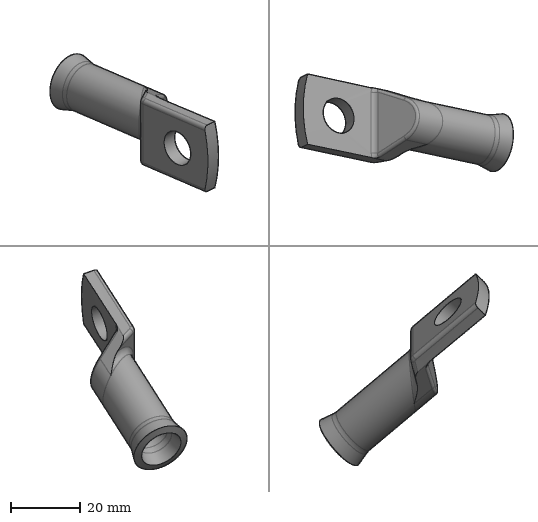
import cadquery as cq
import math

barrel_radius = 7.3
bore_radius = 5.0
bore_depth = 30.0
wall = barrel_radius - bore_radius

flare_angle = math.radians(14)
flare_bend_x = 6.1
flare_bend_radius = 6.1

palm_end_x = 64.0
palm_width = 21.5
palm_front_y = -9.3
palm_back_y = -4.8
palm_end_radius = 40.0
stud_hole_diameter = 10.5
stud_hole_x = 51.9

neck_angle = math.radians(60)
plate_thickness = palm_back_y - palm_front_y
neck_back_x = 36.85

barrel_root_fillet = 1.98
front_bend_fillet = 2.0
front_edge_fillet = 1.25
back_bend_fillet = 2.0
neck_back_fillet = 1.1
palm_back_fillet = 0.4

half_width = palm_width / 2
neck_front_x = neck_back_x - plate_thickness / math.sin(neck_angle)
blank_reach = 2 * barrel_radius
front_bend_x = neck_front_x - palm_front_y / math.tan(neck_angle)
back_bend_x = neck_back_x - palm_back_y / math.tan(neck_angle)


def neck_x(axis_crossing, y):
    """X of an inclined neck plane at height y."""
    return axis_crossing - y / math.tan(neck_angle)


def neck_back_face(body):
    """Flat back face of the inclined neck."""
    back_normal = cq.Vector(math.sin(neck_angle), math.cos(neck_angle), 0)
    inclined = body.faces(cq.selectors.ParallelDirSelector(back_normal))
    return inclined.faces(cq.selectors.DirectionMinMaxSelector(back_normal, True))


def barrel_blank():
    """Solid barrel, cut off along the back plane of the neck."""
    side = (
        cq.Workplane("XY")
        .moveTo(0, blank_reach)
        .lineTo(neck_x(neck_back_x, blank_reach), blank_reach)
        .lineTo(neck_x(neck_back_x, -blank_reach), -blank_reach)
        .lineTo(0, -blank_reach)
        .close()
        .extrude(blank_reach, both=True)
    )
    return cq.Workplane("YZ").circle(barrel_radius).extrude(palm_end_x).intersect(side)


def neck_and_palm_blank():
    """Side shape of the neck and palm, wider than the finished part."""
    return (
        cq.Workplane("XY")
        .moveTo(neck_x(neck_front_x, blank_reach), blank_reach)
        .lineTo(neck_x(neck_back_x, blank_reach), blank_reach)
        .lineTo(back_bend_x, palm_back_y)
        .lineTo(palm_end_x, palm_back_y)
        .lineTo(palm_end_x, palm_front_y)
        .lineTo(front_bend_x, palm_front_y)
        .close()
        .extrude(palm_width, both=True)
    )


def end_outline():
    """Palm rectangle whose sides close in tangentially onto the barrel."""
    corner_distance = math.hypot(palm_back_y, half_width)
    corner_angle = math.atan2(half_width, palm_back_y)
    tangent_angle = corner_angle - math.acos(barrel_radius / corner_distance)
    tangent_y = barrel_radius * math.cos(tangent_angle)
    tangent_z = barrel_radius * math.sin(tangent_angle)
    barrel_outline = cq.Workplane("YZ").circle(barrel_radius).extrude(palm_end_x)
    return barrel_outline.union(
        cq.Workplane("YZ")
        .moveTo(palm_front_y, -half_width)
        .lineTo(palm_back_y, -half_width)
        .lineTo(tangent_y, -tangent_z)
        .lineTo(tangent_y, tangent_z)
        .lineTo(palm_back_y, half_width)
        .lineTo(palm_front_y, half_width)
        .close()
        .extrude(palm_end_x)
    )


def solid_lug():
    """Barrel, neck and palm in one piece, with fillets at the front bend and barrel root."""
    blank = neck_and_palm_blank().edges("|Z and <Y").edges("<X").fillet(front_bend_fillet)
    blank = blank.union(barrel_blank())
    return blank.edges("%ELLIPSE").fillet(barrel_root_fillet).intersect(end_outline())


def round_front_edges(body):
    """Round the long front edges of the palm, continuing round the bend up the neck."""
    return body.faces("<Y").edges("|X").fillet(front_edge_fillet)


def round_neck_back(body):
    """Round the back rim of the neck, then blend the neck into the palm."""
    body = neck_back_face(body).edges("not |Z").fillet(neck_back_fillet)
    return neck_back_face(body).edges("|Z").edges("<Y").fillet(back_bend_fillet)


def palm_back_edge_cutter(side):
    """Strip that rounds one long back edge of the palm; side is +1 or -1 along Z."""
    radius = palm_back_fillet
    bend_tangent = back_bend_fillet * math.tan(neck_angle / 2)
    start_x = back_bend_x + bend_tangent
    corner_z = side * half_width
    mid_inset = radius * (1 - math.cos(math.pi / 4))
    mid_y = palm_back_y - mid_inset
    mid_z = side * (half_width - mid_inset)
    return (
        cq.Workplane("YZ", origin=(start_x, 0, 0))
        .moveTo(palm_back_y, corner_z)
        .lineTo(palm_back_y - radius, corner_z)
        .threePointArc((mid_y, mid_z), (palm_back_y, corner_z - side * radius))
        .close()
        .extrude(palm_end_x - start_x)
    )


def palm_end_trim():
    """Material kept by the shallow arc at the free end of the palm."""
    sagitta = palm_end_radius - math.sqrt(palm_end_radius**2 - half_width**2)
    height = 2 * blank_reach
    return (
        cq.Workplane("XZ", origin=(0, height / 2, 0))
        .moveTo(0, -half_width)
        .lineTo(palm_end_x - sagitta, -half_width)
        .threePointArc((palm_end_x, 0), (palm_end_x - sagitta, half_width))
        .lineTo(0, half_width)
        .close()
        .extrude(height)
    )


def stud_hole():
    """Through hole in the palm."""
    return (
        cq.Workplane("XZ", origin=(stud_hole_x, palm_back_y, 0))
        .circle(stud_hole_diameter / 2)
        .extrude(plate_thickness)
    )


def bore():
    """Blind, flat-bottomed wire bore."""
    return cq.Workplane("YZ").circle(bore_radius).extrude(bore_depth)


def flared_mouth():
    """Mouth wall from the bend to the rim, revolved about the barrel axis."""
    center_y = barrel_radius + flare_bend_radius
    inner_bend_radius = flare_bend_radius + wall

    def bend_point(radius, angle):
        return flare_bend_x - radius * math.sin(angle), center_y - radius * math.cos(angle)

    outer_end = bend_point(flare_bend_radius, flare_angle)
    inner_end = bend_point(inner_bend_radius, flare_angle)
    rim_inner = (0, inner_end[1] + inner_end[0] * math.tan(flare_angle))
    rim_outer = (wall * math.sin(flare_angle), rim_inner[1] + wall * math.cos(flare_angle))
    return (
        cq.Workplane("XY")
        .moveTo(*bend_point(inner_bend_radius, 0))
        .threePointArc(bend_point(inner_bend_radius, flare_angle / 2), inner_end)
        .lineTo(*rim_inner)
        .lineTo(*rim_outer)
        .lineTo(*outer_end)
        .threePointArc(bend_point(flare_bend_radius, flare_angle / 2), bend_point(flare_bend_radius, 0))
        .close()
        .revolve(360, (0, 0, 0), (1, 0, 0))
    )


def mouth_clearance():
    """Plain barrel length that the flared mouth replaces."""
    return cq.Workplane("YZ").circle(blank_reach).extrude(flare_bend_x)


lug = round_neck_back(round_front_edges(solid_lug()))
for side in (-1, 1):
    lug = lug.cut(palm_back_edge_cutter(side))
lug = lug.intersect(palm_end_trim())
result = lug.cut(stud_hole()).cut(bore()).cut(mouth_clearance()).union(flared_mouth())